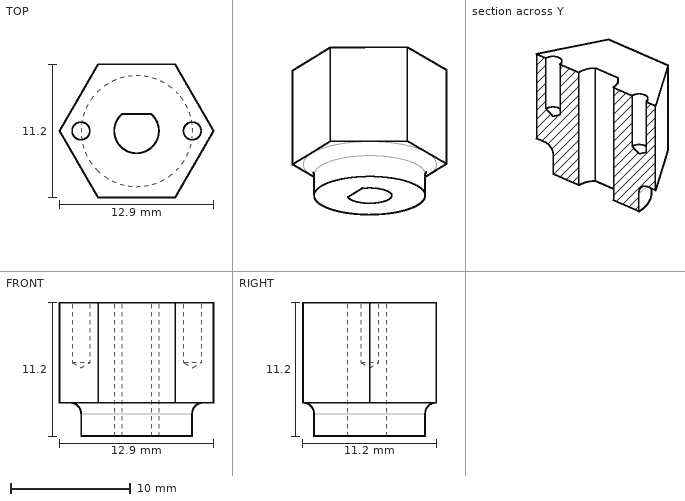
import cadquery as cq
import math

across_flats = 11.18
total_height = 11.18
body_height = 8.38
across_corners = across_flats / math.cos(math.radians(30))

spigot_diameter = 9.32
blend_radius = 0.92
spigot_height = total_height - body_height

bore_diameter = 3.72
flat_offset = 1.4

pin_hole_diameter = 1.48
pin_hole_spacing = 9.32
pin_hole_depth = 5.0
drill_point_angle = 118.0


def make_body():
    """Hexagonal prism with two corners on the X axis."""
    return (
        cq.Workplane("XY")
        .workplane(offset=spigot_height)
        .polygon(6, across_corners)
        .extrude(body_height)
    )


def make_spigot():
    """Revolved spigot whose side flares through a concave quarter round."""
    radius = spigot_diameter / 2
    flare_radius = radius + blend_radius
    blend_start = spigot_height - blend_radius
    arc_reach = blend_radius * (1 - math.cos(math.radians(45)))
    return (
        cq.Workplane("XZ")
        .lineTo(radius, 0)
        .lineTo(radius, blend_start)
        .threePointArc(
            (radius + arc_reach, spigot_height - arc_reach),
            (flare_radius, spigot_height),
        )
        .lineTo(0, spigot_height)
        .close()
        .revolve(360, (0, 0, 0), (0, 1, 0))
    )


def make_bore():
    """D-shaped cutter running the full height."""
    radius = bore_diameter / 2
    half_flat = math.sqrt(radius**2 - flat_offset**2)
    return (
        cq.Workplane("XY")
        .moveTo(-half_flat, flat_offset)
        .threePointArc((0, -radius), (half_flat, flat_offset))
        .close()
        .extrude(total_height)
    )


def make_pin_hole(x):
    """Drill-shaped cutter with a conical tip, entering from the top face at x."""
    radius = pin_hole_diameter / 2
    tip_length = radius / math.tan(math.radians(drill_point_angle / 2))
    wall_bottom = total_height - pin_hole_depth
    return (
        cq.Workplane("XZ")
        .moveTo(0, total_height)
        .lineTo(radius, total_height)
        .lineTo(radius, wall_bottom)
        .lineTo(0, wall_bottom - tip_length)
        .close()
        .revolve(360, (0, 0, 0), (0, 1, 0))
        .translate((x, 0, 0))
    )


result = make_body().union(make_spigot()).cut(make_bore())
for side in (-1, 1):
    result = result.cut(make_pin_hole(side * pin_hole_spacing / 2))